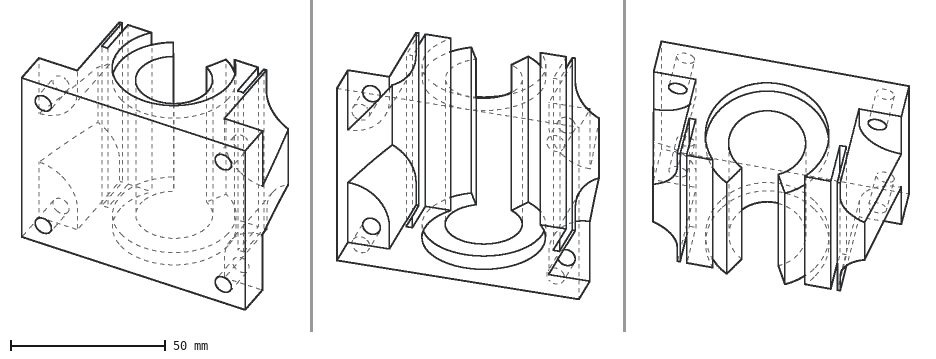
import cadquery as cq
import math

width = 82.0
height = 65.0
plate_thickness = 12.0
body_depth = 41.0
body_top_width = 70.0

bore_center_y = 28.0
ring_outer_radius = 20.0
ring_inner_radius = 12.5
ring_end_recess = 5.0
mouth_half_angle = 28.8

hole_diameter = 6.0
hole_spacing_x = 66.0
hole_spacing_z = 50.0
clearance_radius = 14.0
clearance_edge_offset = 8.5

slot_center_x = 24.9
slot_width = 2.1
slot_depth = 14.0


def prism(outline, length):
    """Extrude an XY outline along Z, centred on Z = 0."""
    return outline.extrude(length / 2, both=True)


def make_body():
    """Base plate with a tapered block standing on it."""
    right_side = [
        (width / 2, 0),
        (width / 2, plate_thickness),
        (body_top_width / 2, body_depth),
    ]
    left_side = [(-x, y) for x, y in reversed(right_side)]
    return prism(cq.Workplane("XY").polyline(right_side + left_side).close(), height)


def corner_clearance(side_x, side_z):
    """Screw-head space above the plate: rounded inner side, straight out to the end face."""
    center_x = side_x * width / 2
    arc_z = height / 2 - clearance_edge_offset
    depth = body_depth - plate_thickness
    round_part = (
        cq.Workplane("XZ", origin=(center_x, plate_thickness, side_z * arc_z))
        .circle(clearance_radius)
        .extrude(-depth)
    )
    straight_part = cq.Workplane("XY").box(
        2 * clearance_radius, depth, clearance_edge_offset, centered=(True, False, True)
    ).translate((center_x, plate_thickness, side_z * (height - clearance_edge_offset) / 2))
    return round_part.union(straight_part)


def screw_holes():
    return (
        cq.Workplane("XZ")
        .rect(hole_spacing_x, hole_spacing_z, forConstruction=True)
        .vertices()
        .circle(hole_diameter / 2)
        .extrude(-body_depth)
    )


def relief_slots():
    slot_center_y = body_depth - slot_depth / 2
    outline = (
        cq.Workplane("XY")
        .pushPoints([(side * slot_center_x, slot_center_y) for side in (-1, 1)])
        .rect(slot_width, slot_depth)
    )
    return prism(outline, height)


def make_ring():
    """C-shaped ring with radial ends at its mouth."""
    angle = math.radians(mouth_half_angle)

    def mouth_point(radius, side):
        return (side * radius * math.sin(angle), bore_center_y + radius * math.cos(angle))

    outline = (
        cq.Workplane("XY")
        .moveTo(*mouth_point(ring_outer_radius, 1))
        .threePointArc((0, bore_center_y - ring_outer_radius), mouth_point(ring_outer_radius, -1))
        .lineTo(*mouth_point(ring_inner_radius, -1))
        .threePointArc((0, bore_center_y - ring_inner_radius), mouth_point(ring_inner_radius, 1))
        .close()
    )
    return prism(outline, height - 2 * ring_end_recess)


bore = prism(cq.Workplane("XY").center(0, bore_center_y).circle(ring_outer_radius), height)

housing = make_body().cut(bore).cut(screw_holes()).cut(relief_slots())
for side_x in (-1, 1):
    for side_z in (-1, 1):
        housing = housing.cut(corner_clearance(side_x, side_z))

result = housing.union(make_ring())